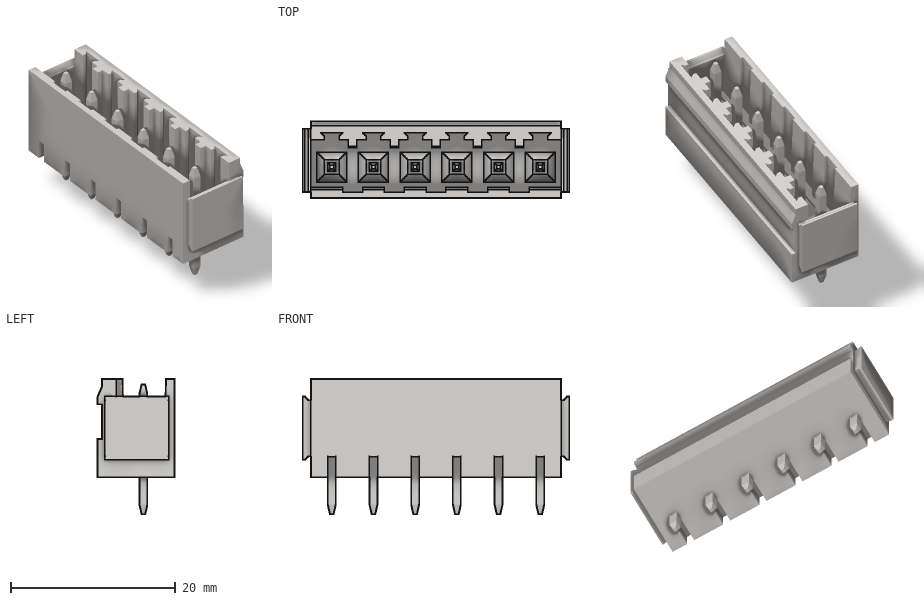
import cadquery as cq

pin_count = 6
pitch = 5.08
pin_width = 1.0
pin_tip_width = 0.45
pin_top = 11.35
pin_bottom = -4.5
tip_length = 1.2
pin_x = [(i - (pin_count - 1) / 2) * pitch for i in range(pin_count)]

length = pin_count * pitch
height = 12.0
front_y = -3.8
back_y = 5.6
floor_z = 3.5

latch_step = 0.55
latch_recess_bottom = 4.7
latch_bottom = 8.9
latch_ramp_bottom = 9.8
latch_ramp_top = 11.1

front_wall_inner_y = -3.07
front_rib_top_y = -2.75
front_rib_base_y = -2.48
front_rib_width = 2.65

back_wall_inner_y = 3.3
back_rib_top_y = 2.53
back_rib_base_y = 2.33
back_rib_width = 1.04
dovetail_mouth = 1.8
dovetail_width = 2.65
dovetail_neck = 0.45
dovetail_flare = (dovetail_width - dovetail_mouth) / 2

boss_base = 3.65
boss_top = 1.8
boss_height = 1.3

slot_height = 2.54

plate_thickness = 1.0
plate_land = 0.25
plate_neck = 0.3
plate_bevel = plate_thickness - plate_land - plate_neck
plate_height = 7.75
plate_front_y = front_wall_inner_y
plate_back_y = 4.68


def x_extrusion(points, x_center, width):
    """Extrude a closed (Y, Z) outline along X, centred on x_center."""
    return (
        cq.Workplane("YZ", origin=(x_center - width / 2, 0, 0))
        .polyline(points)
        .close()
        .extrude(width)
    )


def square_taper(x, z, size, end_size, rise):
    """Square frustum from the level z; a negative rise points it down."""
    return (
        cq.Workplane("XY", origin=(x, 0, z))
        .rect(size, size)
        .workplane(offset=rise)
        .rect(end_size, end_size)
        .loft(ruled=True)
    )


def make_shell():
    """Open-ended trough with the latch edge on its back wall."""
    latch_y = back_y - latch_step
    outline = [
        (front_y, 0),
        (back_y, 0),
        (back_y, latch_recess_bottom),
        (latch_y, latch_recess_bottom),
        (latch_y, latch_bottom),
        (back_y, latch_bottom),
        (back_y, latch_ramp_bottom),
        (latch_y, latch_ramp_top),
        (latch_y, height),
        (back_wall_inner_y, height),
        (back_wall_inner_y, floor_z),
        (front_wall_inner_y, floor_z),
        (front_wall_inner_y, height),
        (front_y, height),
    ]
    return x_extrusion(outline, 0, length)


def drafted_rib(x_center, width, wall_y, top_y, base_y):
    """Rib on a long wall, growing thicker from its top to the floor."""
    outline = [(wall_y, floor_z), (base_y, floor_z), (top_y, height), (wall_y, height)]
    return x_extrusion(outline, x_center, width)


def front_rib(x):
    """Rib facing a pin; those facing the end pins run on to the housing end."""
    left = x - front_rib_width / 2
    right = x + front_rib_width / 2
    if x == pin_x[0]:
        left = -length / 2
    if x == pin_x[-1]:
        right = length / 2
    return drafted_rib(
        (left + right) / 2, right - left, front_wall_inner_y, front_rib_top_y, front_rib_base_y
    )


def dovetail_slot(x):
    """Dovetail-shaped slot in the back wall, from the floor to the top."""
    neck_y = back_wall_inner_y + dovetail_neck
    deep_y = neck_y + dovetail_flare
    return (
        cq.Workplane("XY", origin=(x, 0, floor_z))
        .polyline([
            (-dovetail_mouth / 2, back_wall_inner_y),
            (-dovetail_mouth / 2, neck_y),
            (-dovetail_width / 2, deep_y),
            (dovetail_width / 2, deep_y),
            (dovetail_mouth / 2, neck_y),
            (dovetail_mouth / 2, back_wall_inner_y),
        ])
        .close()
        .extrude(height - floor_z)
    )


def end_plate(side):
    """Plate closing one end (side -1 or 1), with bevels under its outer rim."""
    x_inner = side * length / 2
    x_neck = x_inner + side * plate_neck
    x_bevel = x_neck + side * plate_bevel
    x_outer = x_inner + side * plate_thickness
    z_top = (height + plate_height) / 2
    z_bottom = (height - plate_height) / 2
    return (
        cq.Workplane("XZ", origin=(0, plate_back_y, 0))
        .polyline([
            (x_inner, z_bottom + plate_bevel),
            (x_neck, z_bottom + plate_bevel),
            (x_bevel, z_bottom),
            (x_outer, z_bottom),
            (x_outer, z_top),
            (x_bevel, z_top),
            (x_neck, z_top - plate_bevel),
            (x_inner, z_top - plate_bevel),
        ])
        .close()
        .extrude(plate_back_y - plate_front_y)
    )


def front_slot(x):
    """Slot in the underside, from the front face to the pin."""
    depth = -pin_width / 2 - front_y
    return (
        cq.Workplane("XY", origin=(x, front_y + depth / 2, 0))
        .rect(pin_width, depth)
        .extrude(slot_height)
    )


def make_pin(x):
    """Square pin tapered at both ends."""
    shank_bottom = pin_bottom + tip_length
    shank_top = pin_top - tip_length
    shank = (
        cq.Workplane("XY", origin=(x, 0, shank_bottom))
        .rect(pin_width, pin_width)
        .extrude(shank_top - shank_bottom)
    )
    upper_tip = square_taper(x, shank_top, pin_width, pin_tip_width, tip_length)
    lower_tip = square_taper(x, shank_bottom, pin_width, pin_tip_width, -tip_length)
    return shank.union(upper_tip).union(lower_tip)


def make_housing(pins):
    """Trough with ribs, slots, bosses and end plates, bored for the pins."""
    housing = make_shell()
    for side in (-1, 1):
        housing = housing.union(end_plate(side))
    for x in pin_x:
        housing = housing.cut(dovetail_slot(x))
        housing = housing.union(front_rib(x))
        housing = housing.union(square_taper(x, floor_z, boss_base, boss_top, boss_height))
        housing = housing.cut(front_slot(x))
    for x in pin_x[:-1]:
        rib = drafted_rib(
            x + pitch / 2, back_rib_width, back_wall_inner_y, back_rib_top_y, back_rib_base_y
        )
        housing = housing.union(rib)
    for pin in pins:
        housing = housing.cut(pin)
    return housing


pins = [make_pin(x) for x in pin_x]
housing = make_housing(pins)

result = cq.Compound.makeCompound([housing.val(), *[pin.val() for pin in pins]])